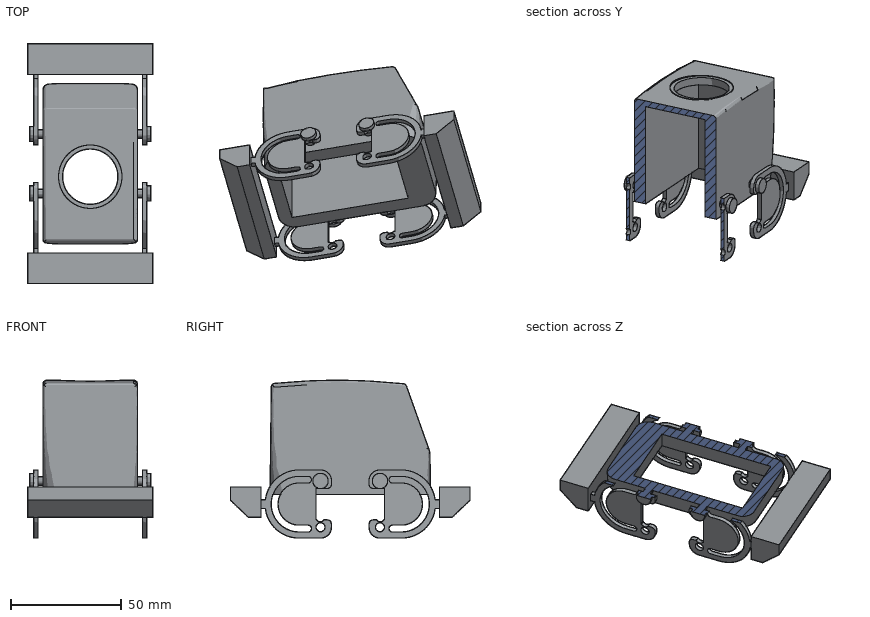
import cadquery as cq
import math


hood_half_width = 21.5
hood_half_length = 36.5
crest_height = 52.0
crest_y = -5.9
roof_radius = 290.0
end_draft = 0.012
bend_height = 19.3
rear_lean = math.tan(math.radians(19.6))
bend_radius = 10.0
edge_radius = 1.8

front_corner_radius_top = 1.5
front_corner_flare = 6.0
front_flare_power = 2.9
rear_corner_radius_rim = 7.5
rear_corner_radius_bend = 3.1
rear_flare_top = 24.0
front_corner_stations = 7
waste_reach = 3.0

side_wall = 6.0
cavity_rear_gap = 1.1
roof_thickness = 3.6
entry_radius = 12.5
seat_radius = 14.4
seat_depth = 0.6

tolerance = 0.01
meet_roof_rounds = 20

plate_inner_x = 23.7
plate_thickness = 2.0
lever_z = -4.3
plate_half_height = 15.5
bow_center_y = 23.25
tip_y = 8.5
tip_radius = 5.0
hook_height = 3.4
hook_tip_radius = 2.0
mouth_y = 15.5
notch_radius = 1.9
notch_offset = 4.4
slot_width = 3.0
slot_outer_radius = 12.6
slot_end_y = 19.15

pin_radius = 2.0
pin_embed = 0.5
pin_head_radius = 3.5
pin_head_thickness = 1.8

neck_height = 4.0
neck_embed = 1.0
grip_inner_y = 40.5
grip_outer_y = 54.5
grip_half_length = 28.5
grip_top_z = 3.5
grip_height = 13.8
grip_bevel_y = 8.2
grip_bevel_z = 7.8

pin_y = tip_y + tip_radius
pin_offset_z = plate_half_height - tip_radius
plate_outer_x = plate_inner_x + plate_thickness
seat_z = crest_height - seat_depth
ceiling_height = seat_z - roof_thickness
rear_bend_y = hood_half_length - end_draft * bend_height


def front_y(z):
    return -hood_half_length + end_draft * z


def rear_y(z):
    return hood_half_length - end_draft * z


def leaning_y(z):
    return rear_bend_y - rear_lean * (z - bend_height)


def roof_z(y):
    return crest_height - roof_radius + math.sqrt(roof_radius**2 - (y - crest_y) ** 2)


def meet_roof(wall_y):
    """Point (y, z) where an end wall runs into the roof arc."""
    z = crest_height
    for _ in range(meet_roof_rounds):
        z = roof_z(wall_y(z))
    return wall_y(z), z


def front_radius(z):
    return front_corner_radius_top + front_corner_flare * (1 - z / crest_height) ** front_flare_power


def rear_radius(z):
    slope = (rear_corner_radius_rim - rear_corner_radius_bend) / bend_height
    return rear_corner_radius_rim - slope * z


def corner_section(side_x, side_y, end_y, radius, z):
    """Level outline of the waste outside one rounded corner, reaching past the walls."""
    mid = radius * (1 - math.sqrt(0.5))

    def at(inward_x, inward_y):
        return cq.Vector(side_x * (hood_half_width - inward_x), end_y - side_y * inward_y, z)

    arc = cq.Edge.makeThreePointArc(at(radius, 0), at(mid, mid), at(0, radius))
    corners = [
        at(0, radius),
        at(-waste_reach, radius),
        at(-waste_reach, -waste_reach),
        at(radius, -waste_reach),
        at(radius, 0),
    ]
    lines = [cq.Edge.makeLine(a, b) for a, b in zip(corners, corners[1:])]
    return cq.Wire.assembleEdges([arc] + lines)


def corner_waste(side_x, side_y, wall_y, radius_at, heights):
    """Solid outside one upright corner, with a radius that changes with height."""
    sections = [corner_section(side_x, side_y, wall_y(z), radius_at(z), z) for z in heights]
    return cq.Workplane(cq.Solid.makeLoft(sections))


class RoundedEdges(cq.Selector):
    """All edges of the roof, and the side edges of the rear wall above the rim."""

    def filter(self, objects):
        def wanted(edge):
            center = edge.Center()
            on_side = abs(abs(center.x) - hood_half_width) < tolerance
            on_rim = center.z < tolerance
            on_front = center.y < front_y(crest_height) + tolerance
            on_roof = center.z > ceiling_height
            return on_roof or (on_side and not on_rim and not on_front)

        return [edge for edge in objects if wanted(edge)]


def make_block():
    """Solid hood block with its constant edge rounding, before the corner flares."""
    front_top = meet_roof(front_y)
    rear_top = meet_roof(leaning_y)
    block = (
        cq.Workplane("YZ")
        .moveTo(front_y(0), 0)
        .lineTo(rear_y(0), 0)
        .lineTo(rear_bend_y, bend_height)
        .lineTo(*rear_top)
        .threePointArc((crest_y, crest_height), front_top)
        .close()
        .extrude(hood_half_width, both=True)
    )
    bend_edge = cq.NearestToPointSelector((0, rear_bend_y, bend_height))
    block = block.edges(bend_edge).fillet(bend_radius)
    return block.edges(RoundedEdges()).fillet(edge_radius)


def make_hood():
    """Hollow hood with flared corners and a round cable entry in a shallow flat seat."""
    hood = make_block()
    step = crest_height / (front_corner_stations - 1)
    front_heights = [step * i for i in range(front_corner_stations)]
    for side_x in (-1, 1):
        hood = hood.cut(corner_waste(side_x, -1, front_y, front_radius, front_heights))
        hood = hood.cut(corner_waste(side_x, 1, rear_y, rear_radius, [0, rear_flare_top]))

    cavity_front = -hood_half_length + side_wall
    cavity_rear = leaning_y(crest_height) - cavity_rear_gap
    cavity = (
        cq.Workplane("XY")
        .center(0, (cavity_front + cavity_rear) / 2)
        .rect(2 * (hood_half_width - side_wall), cavity_rear - cavity_front)
        .extrude(ceiling_height)
    )
    entry = cq.Workplane("XY").center(0, crest_y).circle(entry_radius).extrude(crest_height)
    seat = (
        cq.Workplane("XY", origin=(0, crest_y, seat_z))
        .circle(seat_radius)
        .extrude(crest_height - seat_z)
    )
    return hood.cut(cavity).cut(entry).cut(seat)


def cylinder_along_x(radius, start_x, end_x, y, z):
    return cq.Workplane("YZ", origin=(start_x, y, z)).circle(radius).extrude(end_x - start_x)


def make_plate():
    """Lever plate on the +X, +Y side."""

    def sheet():
        return cq.Workplane("YZ", origin=(plate_inner_x, 0, lever_z))

    outline = (
        sheet()
        .moveTo(tip_y, plate_half_height)
        .lineTo(bow_center_y, plate_half_height)
        .threePointArc((bow_center_y + plate_half_height, 0), (bow_center_y, -plate_half_height))
        .lineTo(tip_y, -plate_half_height)
        .close()
        .extrude(plate_thickness)
        .edges("|X and <Y")
        .fillet(tip_radius)
    )
    mouth_half_height = pin_offset_z - hook_height
    mouth = (
        sheet()
        .center(tip_y, 0)
        .rect(2 * (mouth_y - tip_y), 2 * mouth_half_height)
        .extrude(plate_thickness)
    )
    plate = outline.cut(mouth)
    hook_tips = cq.selectors.BoxSelector(
        (plate_inner_x, tip_y - tolerance, lever_z - mouth_half_height - tolerance),
        (plate_outer_x, tip_y + tolerance, lever_z + mouth_half_height + tolerance),
    )
    plate = plate.edges("|X").edges(hook_tips).fillet(hook_tip_radius)
    for side_z in (-1, 1):
        notch_z = side_z * (pin_offset_z - notch_offset)
        notch = sheet().center(mouth_y - notch_radius, notch_z).circle(notch_radius)
        plate = plate.cut(notch.extrude(plate_thickness))

    lower_hole = sheet().center(pin_y, -pin_offset_z).circle(pin_radius).extrude(plate_thickness)
    return plate.cut(lower_hole).cut(make_slot(sheet()))


def make_slot(sheet):
    """C-shaped slot that follows the bow of the plate."""
    inner = slot_outer_radius - slot_width
    middle = slot_outer_radius - slot_width / 2
    end = slot_end_y - slot_width / 2
    return (
        sheet.moveTo(slot_end_y, slot_outer_radius)
        .lineTo(bow_center_y, slot_outer_radius)
        .threePointArc((bow_center_y + slot_outer_radius, 0), (bow_center_y, -slot_outer_radius))
        .lineTo(slot_end_y, -slot_outer_radius)
        .threePointArc((end, -middle), (slot_end_y, -inner))
        .lineTo(bow_center_y, -inner)
        .threePointArc((bow_center_y + inner, 0), (bow_center_y, inner))
        .lineTo(slot_end_y, inner)
        .threePointArc((end, middle), (slot_end_y, slot_outer_radius))
        .close()
        .extrude(plate_thickness)
    )


def make_side():
    """Plate, neck and headed pin of one lever on the +X side."""
    pin_z = lever_z + pin_offset_z
    shank = cylinder_along_x(pin_radius, hood_half_width - pin_embed, plate_outer_x, pin_y, pin_z)
    head_end = plate_outer_x + pin_head_thickness
    head = cylinder_along_x(pin_head_radius, plate_outer_x, head_end, pin_y, pin_z)
    neck_start = bow_center_y + slot_outer_radius + neck_embed
    neck = (
        cq.Workplane("YZ", origin=(plate_inner_x, (neck_start + grip_inner_y) / 2, lever_z))
        .rect(grip_inner_y - neck_start, neck_height)
        .extrude(plate_thickness)
    )
    return make_plate().union(neck).union(shank).union(head)


def make_grip():
    grip_bottom_z = grip_top_z - grip_height
    return (
        cq.Workplane("YZ")
        .moveTo(grip_inner_y, grip_top_z)
        .lineTo(grip_outer_y, grip_top_z)
        .lineTo(grip_outer_y, grip_bottom_z + grip_bevel_z)
        .lineTo(grip_outer_y - grip_bevel_y, grip_bottom_z)
        .lineTo(grip_inner_y, grip_bottom_z)
        .close()
        .extrude(grip_half_length, both=True)
    )


side = make_side()
lever = make_grip().union(side).union(side.mirror("YZ"))
result = make_hood().union(lever).union(lever.mirror("XZ"))